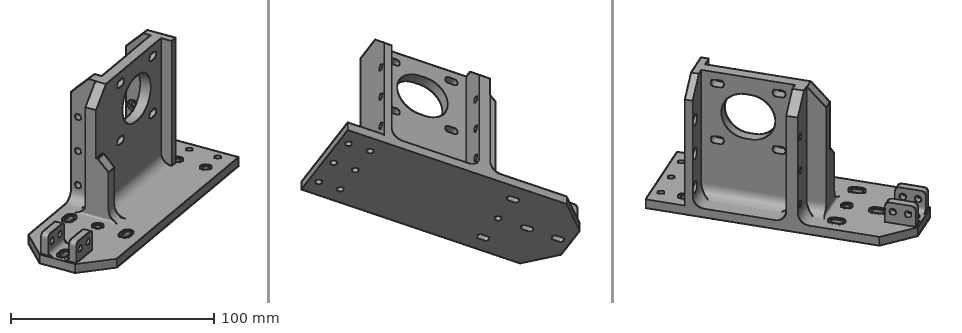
import cadquery as cq
import math


PLATE_WIDTH = 50.0
PLATE_LENGTH = 136.0
PLATE_THICKNESS = 5.0
NOSE_CHAMFER = 15.0
CENTRE_X = PLATE_WIDTH / 2

HEIGHT = 75.0
WALL_X = 14.0
WALL_THICKNESS = 6.0
WALL_BACK_X = WALL_X + WALL_THICKNESS
WALL_FRONT_Y = 47.0
FRONT_RIB_Y = 57.3
FRONT_RIB_THICKNESS = 6.0
BACK_RIB_Y = 111.7
BACK_RIB_THICKNESS = 4.1
POCKET_FRONT_Y = FRONT_RIB_Y + FRONT_RIB_THICKNESS
TOP_CHAMFER = 9.9
ROOT_RADIUS = 6.0
BACK_RIB_WIDTH = WALL_BACK_X + ROOT_RADIUS

GUSSET_X = 27.0
GUSSET_HEIGHT = 38.1
GUSSET_THICKNESS = 6.0
GUSSET_CHAMFER = 6.0
FRONT_ROOT_RADIUS = 1.1

MOTOR_Y = (POCKET_FRONT_Y + BACK_RIB_Y) / 2
MOTOR_Z = 52.6
MOTOR_TRAVEL = 2.9
MOTOR_BORE = 25.0
MOTOR_BOLT_PITCH = 32.0
MOTOR_BOLT_HOLE = 4.0

SCREW_HOLE = 3.4
HEAD_WIDTH = 6.0
HEAD_DEPTH = 0.5
SLOT_TRAVEL = 3.0
HOLE_PITCH_X = 16.0
REAR_ROW_Y = 131.0
MIDDLE_ROW_Y = 119.0
FRONT_ROW_Y = 40.0
NOSE_SLOTS_Y = (7.0, 24.0)

RIB_HOLE_X = 4.0
RIB_HOLE_Z = 14.0
RIB_HOLE_PITCH = 19.0
RIB_HOLE_COUNT = 3
RIB_HEAD_DEPTH = 1.9

LUG_SPAN = 20.0
LUG_THICKNESS = 4.1
LUG_Y = 1.1
LUG_LENGTH = 15.9
LUG_HEIGHT = 11.4
LUG_RADIUS = 2.5
LUG_HOLE_PITCH = 7.9
LUG_HOLE_Z = 11.4


def box(x0, x1, y0, y1, z0, z1):
    return cq.Workplane("XY").box(x1 - x0, y1 - y0, z1 - z0, centered=False).translate((x0, y0, z0))


def fillet_section(plane, wall, side, radius):
    """Concave corner section between the plate top and a wall; side is +1 or -1 away from the wall."""
    bulge = radius * (1 - math.sqrt(0.5))
    return (
        plane.moveTo(wall, PLATE_THICKNESS)
        .lineTo(wall + side * radius, PLATE_THICKNESS)
        .threePointArc((wall + side * bulge, PLATE_THICKNESS + bulge), (wall, PLATE_THICKNESS + radius))
        .close()
    )


def root_along_y(wall_x, side, y0, y1, radius=ROOT_RADIUS):
    return fillet_section(cq.Workplane("XZ", origin=(0, y1, 0)), wall_x, side, radius).extrude(y1 - y0)


def root_along_x(wall_y, side, x0, x1, radius=ROOT_RADIUS):
    return fillet_section(cq.Workplane("YZ", origin=(x0, 0, 0)), wall_y, side, radius).extrude(x1 - x0)


def base_plate():
    plate = box(0, PLATE_WIDTH, 0, PLATE_LENGTH, 0, PLATE_THICKNESS)
    return plate.edges("|Z and <Y").chamfer(NOSE_CHAMFER)


def rib(y, thickness, width):
    blank = box(0, width, y, y + thickness, 0, HEIGHT)
    return blank.faces("<X").edges(">Z").chamfer(TOP_CHAMFER)


def motor_wall():
    wall = box(WALL_X, WALL_BACK_X, WALL_FRONT_Y, BACK_RIB_Y, 0, HEIGHT)
    return wall.faces("<Y").edges(">Z").chamfer(TOP_CHAMFER)


def gusset():
    y1 = WALL_FRONT_Y + GUSSET_THICKNESS
    block = box(WALL_X, GUSSET_X, WALL_FRONT_Y, y1, 0, GUSSET_HEIGHT)
    block = block.faces(">X").edges(">Z").chamfer(GUSSET_CHAMFER)
    return block.union(root_along_y(GUSSET_X, 1, WALL_FRONT_Y, y1))


def front_root():
    """Small fillet along the front of the wall and gusset, following their flared foot."""
    y0 = WALL_FRONT_Y - FRONT_ROOT_RADIUS
    flared_foot = (
        box(WALL_X, GUSSET_X, y0, WALL_FRONT_Y, PLATE_THICKNESS, PLATE_THICKNESS + ROOT_RADIUS)
        .union(root_along_y(WALL_X, -1, y0, WALL_FRONT_Y))
        .union(root_along_y(GUSSET_X, 1, y0, WALL_FRONT_Y))
    )
    return flared_foot.intersect(root_along_x(WALL_FRONT_Y, -1, 0, PLATE_WIDTH, FRONT_ROOT_RADIUS))


def upright():
    return (
        motor_wall()
        .union(rib(FRONT_RIB_Y, FRONT_RIB_THICKNESS, WALL_BACK_X))
        .union(rib(BACK_RIB_Y, BACK_RIB_THICKNESS, BACK_RIB_WIDTH))
        .union(gusset())
        .union(root_along_y(WALL_X, -1, WALL_FRONT_Y, BACK_RIB_Y))
        .union(root_along_y(WALL_BACK_X, 1, WALL_FRONT_Y, BACK_RIB_Y))
        .union(root_along_x(FRONT_RIB_Y, -1, 0, WALL_X))
        .union(root_along_x(POCKET_FRONT_Y, 1, 0, WALL_X))
        .union(root_along_x(BACK_RIB_Y, -1, 0, WALL_X))
        .union(front_root())
    )


def motor_openings():
    plane = cq.Workplane("YZ", origin=(0, MOTOR_Y, MOTOR_Z))
    bore = plane.slot2D(MOTOR_BORE + MOTOR_TRAVEL, MOTOR_BORE).extrude(PLATE_WIDTH)
    bolts = (
        plane.rect(MOTOR_BOLT_PITCH, MOTOR_BOLT_PITCH, forConstruction=True)
        .vertices()
        .slot2D(MOTOR_BOLT_HOLE + MOTOR_TRAVEL, MOTOR_BOLT_HOLE)
        .extrude(PLATE_WIDTH)
    )
    return bore.union(bolts)


def rib_screws():
    """Screw holes through both ribs, counterbored from the inner face of the back rib."""
    head_seat_y = BACK_RIB_Y + RIB_HEAD_DEPTH
    cutters = cq.Workplane("XY")
    for index in range(RIB_HOLE_COUNT):
        z = RIB_HOLE_Z + index * RIB_HOLE_PITCH
        hole_plane = cq.Workplane("XZ", origin=(RIB_HOLE_X, PLATE_LENGTH, z))
        head_plane = cq.Workplane("XZ", origin=(RIB_HOLE_X, head_seat_y, z))
        hole = hole_plane.circle(SCREW_HOLE / 2).extrude(PLATE_LENGTH)
        head = head_plane.circle(HEAD_WIDTH / 2).extrude(RIB_HEAD_DEPTH + ROOT_RADIUS)
        cutters = cutters.union(hole).union(head)
    return cutters


def plate_hole(x, y, travel=0.0, head=True):
    """Vertical screw hole, lengthened along Y by the travel, with an optional recess for the head."""

    def prism(width, z):
        plane = cq.Workplane("XY", origin=(x, y, z))
        outline = plane.slot2D(width + travel, width, 90) if travel else plane.circle(width / 2)
        return outline.extrude(PLATE_THICKNESS - z)

    hole = prism(SCREW_HOLE, 0)
    return hole.union(prism(HEAD_WIDTH, PLATE_THICKNESS - HEAD_DEPTH)) if head else hole


def plate_holes():
    left_x = CENTRE_X - HOLE_PITCH_X
    right_x = CENTRE_X + HOLE_PITCH_X
    cutters = plate_hole(CENTRE_X, FRONT_ROW_Y)
    for x in (left_x, CENTRE_X, right_x):
        cutters = cutters.union(plate_hole(x, REAR_ROW_Y, head=False)).union(plate_hole(x, MIDDLE_ROW_Y))
    for x in (left_x, right_x):
        cutters = cutters.union(plate_hole(x, FRONT_ROW_Y, SLOT_TRAVEL))
    for y in NOSE_SLOTS_Y:
        cutters = cutters.union(plate_hole(CENTRE_X, y, SLOT_TRAVEL))
    return cutters


def lug(side):
    """One nose lug; side is -1 or +1 across the plate centre line."""
    outer_x = CENTRE_X + side * LUG_SPAN / 2
    inner_x = outer_x - side * LUG_THICKNESS
    x0, x1 = sorted((outer_x, inner_x))
    y1 = LUG_Y + LUG_LENGTH
    tab = box(x0, x1, LUG_Y, y1, 0, PLATE_THICKNESS + LUG_HEIGHT)
    tab = tab.faces(">Z").edges("|X").fillet(LUG_RADIUS)
    for y in (-LUG_HOLE_PITCH / 2, LUG_HOLE_PITCH / 2):
        centre = (x0, LUG_Y + LUG_LENGTH / 2 + y, LUG_HOLE_Z)
        tab = tab.cut(cq.Workplane("YZ", origin=centre).circle(SCREW_HOLE / 2).extrude(LUG_THICKNESS))
    return tab.union(root_along_y(inner_x, -side, LUG_Y, y1, LUG_RADIUS))


result = (
    base_plate()
    .union(upright())
    .union(lug(-1))
    .union(lug(1))
    .cut(motor_openings())
    .cut(rib_screws())
    .cut(plate_holes())
)